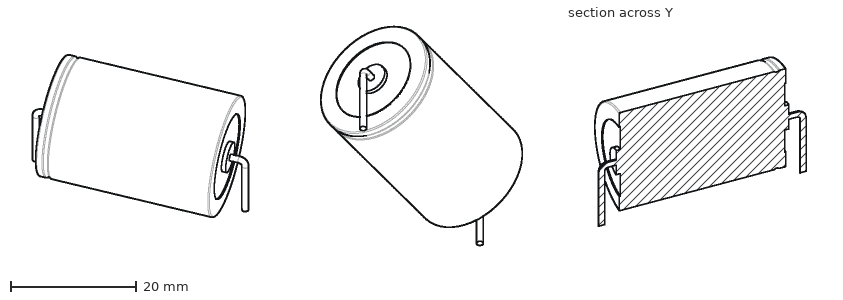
import cadquery as cq
import math


can_diameter = 20.0
can_length = 29.0
rim_fillet = 0.2

groove_center_from_end = 1.62
groove_depth = 0.2
groove_half_width = 0.54
groove_floor_half_width = 0.33

recess_diameter = 14.0
recess_depth = 0.2
collar_diameter = 5.0
collar_height = 0.5

wire_diameter = 1.1
lead_pitch = 35.0
lead_drop = 12.0
bend_radius = wire_diameter

can_radius = can_diameter / 2
half_length = can_length / 2


def make_can():
    """Closed cylinder with rounded rims."""
    blank = cq.Workplane("YZ").circle(can_radius).extrude(half_length, both=True)
    return blank.faces("<X or >X").edges().fillet(rim_fillet)


def make_groove():
    """Ring whose section is a concave floor running tangentially into two convex shoulders."""
    center_x = -half_length + groove_center_from_end
    floor_radius = can_radius - groove_depth

    flank_angle = 2 * math.atan(groove_depth / groove_half_width)
    floor_arc_radius = groove_floor_half_width / math.sin(flank_angle)
    flank_radius = floor_radius + floor_arc_radius * (1 - math.cos(flank_angle))

    shoulder_arc_radius = (groove_half_width - groove_floor_half_width) / math.sin(flank_angle)

    section = (
        cq.Workplane("XY")
        .moveTo(center_x - groove_half_width, can_radius)
        .radiusArc((center_x - groove_floor_half_width, flank_radius), shoulder_arc_radius)
        .threePointArc((center_x, floor_radius), (center_x + groove_floor_half_width, flank_radius))
        .radiusArc((center_x + groove_half_width, can_radius), shoulder_arc_radius)
        .close()
    )
    return section.revolve(360, (0, 0, 0), (1, 0, 0))


def make_end_recess():
    """Disc removed to sink the middle of the -X end face."""
    return (
        cq.Workplane("YZ", origin=(-half_length, 0, 0))
        .circle(recess_diameter / 2)
        .extrude(recess_depth)
    )


def make_collar():
    """Round collar standing on the recess floor, proud of the -X end face."""
    return (
        cq.Workplane("YZ", origin=(-half_length - collar_height, 0, 0))
        .circle(collar_diameter / 2)
        .extrude(collar_height + recess_depth)
    )


def make_lead():
    """Wire leaving the -X end along the can axis and bending straight down."""
    wire_root_x = -half_length
    drop_x = -lead_pitch / 2
    bend_center_x = drop_x + bend_radius
    bend_offset = bend_radius * math.cos(math.pi / 4)
    bend_middle = (bend_center_x - bend_offset, -bend_radius + bend_offset)

    path = (
        cq.Workplane("XZ")
        .moveTo(wire_root_x, 0)
        .lineTo(bend_center_x, 0)
        .threePointArc(bend_middle, (drop_x, -bend_radius))
        .lineTo(drop_x, -lead_drop)
    )
    return cq.Workplane("YZ", origin=(wire_root_x, 0, 0)).circle(wire_diameter / 2).sweep(path)


def mirror_to_far_end(shape):
    """Matching shape at the +X end."""
    return shape.mirror("YZ")


end_recess = make_end_recess()
end_fitting = make_collar().union(make_lead())

result = make_can().cut(make_groove())
result = result.cut(end_recess).cut(mirror_to_far_end(end_recess))
result = result.union(end_fitting).union(mirror_to_far_end(end_fitting))